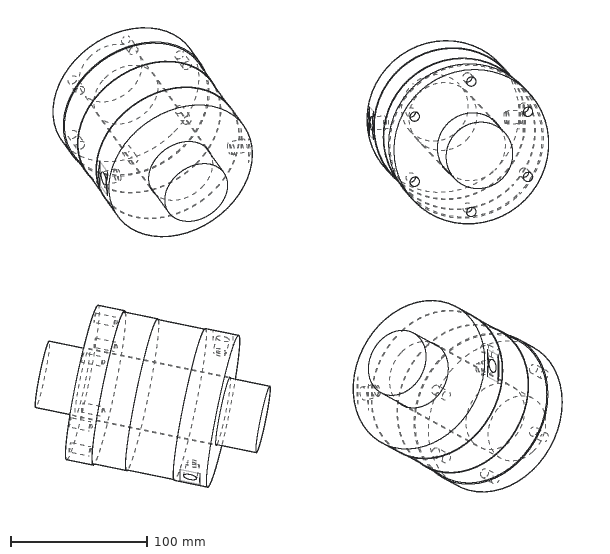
import cadquery as cq
import math

SHAFT_LENGTH = 166.0
SHAFT_DIAMETER = 50.0
SHAFT_PROJECTION = 30.0
BORE_CLEARANCE = 0.5

FLANGE_LENGTH = 20.0
FLANGE_DIAMETER = 116.0
COLLAR_LENGTH = 25.0
COLLAR_DIAMETER = 114.0
BARREL_DIAMETER = 113.0
PORT_RING_LENGTH = COLLAR_LENGTH
PORT_RING_DIAMETER = COLLAR_DIAMETER

SCREW_COUNT = 6
SCREW_DIAMETER = 7.0
SCREW_DEPTH = 15.0
SCREW_CIRCLE_DIAMETER = 98.0
DRILL_POINT_ANGLE = 118.0

FLAT_LENGTH = 15.0
FLAT_DEPTH = 1.0
FLAT_END_MARGIN = (PORT_RING_LENGTH - FLAT_LENGTH) / 2
PORT_DIAMETER = 9.8
PORT_DEPTH = 10.0
PORT_PILOT_DIAMETER = 8.6
PORT_PILOT_DEPTH = 12.0

shaft_start = -SHAFT_LENGTH / 2
housing_start = shaft_start + SHAFT_PROJECTION
housing_end = -housing_start
collar_start = housing_start + FLANGE_LENGTH
barrel_start = collar_start + COLLAR_LENGTH
port_ring_start = housing_end - PORT_RING_LENGTH
port_x = housing_end - FLAT_END_MARGIN - FLAT_LENGTH / 2
flat_y = PORT_RING_DIAMETER / 2 - FLAT_DEPTH


def cylinder_x(start, end, diameter):
    """Solid cylinder along X between two positions."""
    return cq.Workplane("YZ").workplane(offset=start).circle(diameter / 2).extrude(end - start)


def make_shaft():
    return cylinder_x(shaft_start, -shaft_start, SHAFT_DIAMETER)


def make_housing_blank():
    """Stepped sleeve with a clearance bore for the shaft."""
    flange = cylinder_x(housing_start, collar_start, FLANGE_DIAMETER)
    collar = cylinder_x(collar_start, barrel_start, COLLAR_DIAMETER)
    barrel = cylinder_x(barrel_start, port_ring_start, BARREL_DIAMETER)
    port_ring = cylinder_x(port_ring_start, housing_end, PORT_RING_DIAMETER)
    bore = cylinder_x(housing_start, housing_end, SHAFT_DIAMETER + 2 * BORE_CLEARANCE)
    return flange.union(collar).union(barrel).union(port_ring).cut(bore)


def make_screw_holes():
    """Blind drilled holes with conical bottoms, the first one at the top."""
    radius = SCREW_DIAMETER / 2
    point_depth = radius / math.tan(math.radians(DRILL_POINT_ANGLE / 2))
    hole = (
        cq.Workplane("XY")
        .moveTo(housing_start, 0)
        .lineTo(housing_start, radius)
        .lineTo(housing_start + SCREW_DEPTH, radius)
        .lineTo(housing_start + SCREW_DEPTH + point_depth, 0)
        .close()
        .revolve(360, (0, 0, 0), (1, 0, 0))
        .translate((0, 0, SCREW_CIRCLE_DIAMETER / 2))
    )
    holes = cq.Workplane("XY")
    for i in range(SCREW_COUNT):
        holes = holes.add(hole.rotate((0, 0, 0), (1, 0, 0), i * 360 / SCREW_COUNT))
    return holes.combine()


def make_port_cut():
    """Flat and stepped blind port hole on the -Y side."""
    flat = cq.Workplane("XY").box(FLAT_LENGTH, FLAT_DEPTH, PORT_RING_DIAMETER)
    flat = flat.translate((port_x, -flat_y - FLAT_DEPTH / 2, 0))
    face = cq.Workplane("XZ", origin=(port_x, -flat_y, 0))
    port = face.circle(PORT_DIAMETER / 2).extrude(-PORT_DEPTH)
    pilot = face.circle(PORT_PILOT_DIAMETER / 2).extrude(-PORT_PILOT_DEPTH)
    return flat.union(port).union(pilot)


def make_housing():
    port_cut = make_port_cut()
    return (
        make_housing_blank()
        .cut(make_screw_holes())
        .cut(port_cut)
        .cut(port_cut.mirror("XZ"))
    )


shaft = make_shaft()
housing = make_housing()

result = cq.Compound.makeCompound([shaft.val(), housing.val()])